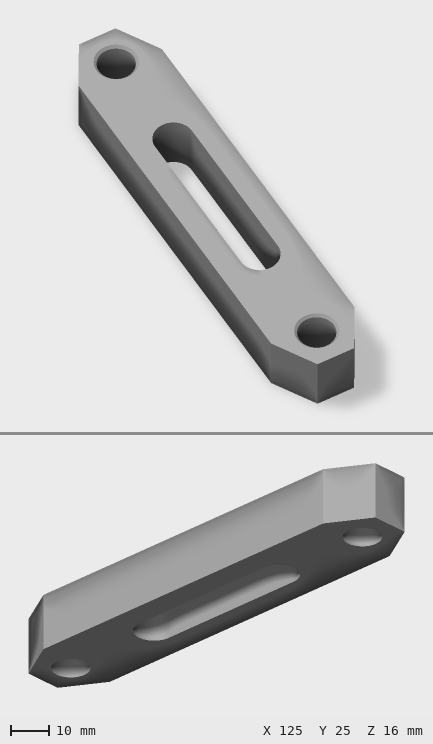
import cadquery as cq
import math

length = 125.0
width = 25.0
thickness = 16.0

end_face_width = 11.0
taper_angle = 30.0
taper_depth = (width - end_face_width) / 2
taper_length = taper_depth / math.tan(math.radians(taper_angle))

slot_length = 56.0
slot_width = 11.0

hole_diameter = 10.2
hole_mouth_diameter = 11.8
hole_end_distance = 10.0
hole_x = length / 2 - hole_end_distance
hole_chamfer = (hole_mouth_diameter - hole_diameter) / 2


def make_bar():
    """Rectangular bar with four angled vertical corners, resting on Z = 0."""
    half_length = length / 2
    half_width = width / 2
    shoulder_x = half_length - taper_length
    half_end = end_face_width / 2
    outline = [
        (-half_length, -half_end),
        (-shoulder_x, -half_width),
        (shoulder_x, -half_width),
        (half_length, -half_end),
        (half_length, half_end),
        (shoulder_x, half_width),
        (-shoulder_x, half_width),
        (-half_length, half_end),
    ]
    return cq.Workplane("XY").polyline(outline).close().extrude(thickness)


def make_slot():
    """Round-ended through slot along X."""
    return cq.Workplane("XY").slot2D(slot_length, slot_width).extrude(thickness)


def make_hole(x):
    """Through hole with a 45 degree chamfer at its top mouth."""
    bore = cq.Workplane("XY").center(x, 0).circle(hole_diameter / 2).extrude(thickness)
    mouth = (
        cq.Workplane("XY", origin=(x, 0, thickness))
        .circle(hole_mouth_diameter / 2)
        .extrude(-hole_chamfer, taper=45)
    )
    return bore.union(mouth)


result = make_bar().cut(make_slot())
for x in (-hole_x, hole_x):
    result = result.cut(make_hole(x))